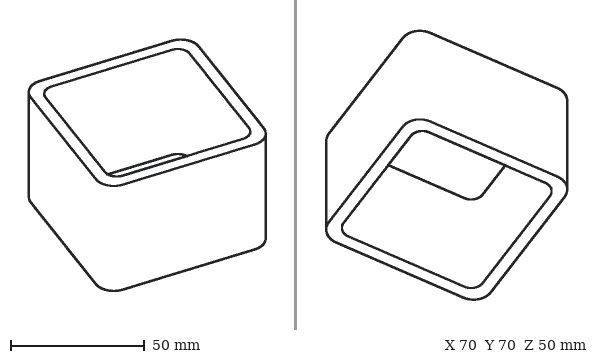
import cadquery as cq

outer_side = 70.0
height = 50.0
wall = 5.0
outer_radius = 7.5
inner_radius = 5.0

inner_side = outer_side - 2 * wall


def rounded_block(side, corner_radius):
    """Square block of the tube's height with its vertical edges rounded."""
    return cq.Workplane("XY").box(side, side, height).edges("|Z").fillet(corner_radius)


result = rounded_block(outer_side, outer_radius).cut(rounded_block(inner_side, inner_radius))